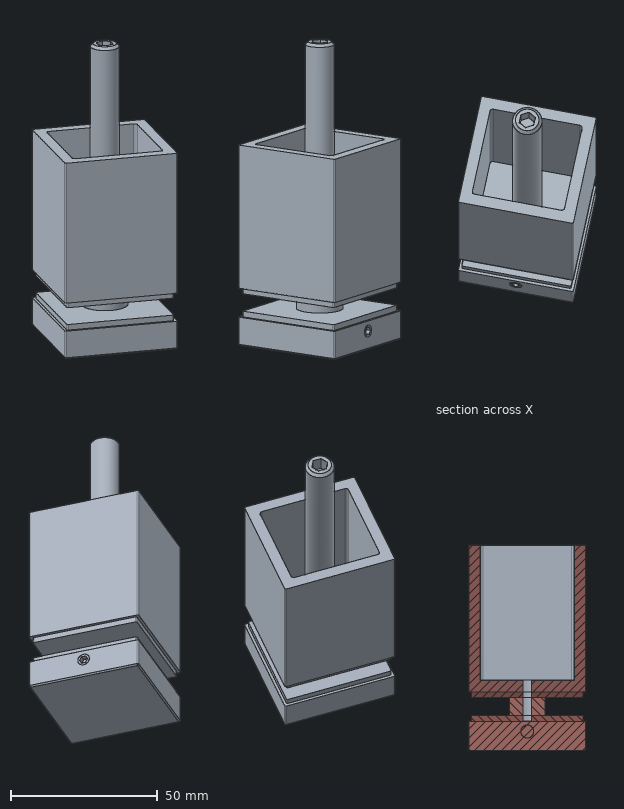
import cadquery as cq
import math

column_side = 40.0
corner_radius = 0.5

base_height = 10.0
base_bottom_chamfer = 0.5

gasket_inset = 1.0
gasket_side = column_side - 2 * gasket_inset
gasket_thickness = 2.0

spacer_diameter = 16.0
spacer_height = 6.0

sleeve_height = 50.0
sleeve_wall = 4.0
sleeve_floor = 4.0
sleeve_cavity_corner_radius = 1.0
sleeve_cavity_side = column_side - 2 * sleeve_wall

stud_diameter = 10.0
stud_clearance_diameter = 10.4
stud_chamfer = 1.0
stud_top = 105.0
stud_engagement = 7.0
stud_hex_flats = 5.0
stud_hex_depth = 5.0

screw_diameter = 4.2
screw_z = 6.5
screw_hex_flats = 2.5
screw_hex_depth = 2.0

lower_gasket_z = base_height
spacer_z = lower_gasket_z + gasket_thickness
upper_gasket_z = spacer_z + spacer_height
sleeve_z = upper_gasket_z + gasket_thickness
stud_bottom = base_height - stud_engagement

screw_head_x = -column_side / 2
screw_length = (column_side - stud_diameter) / 2

HEX_CORNERS_PER_FLATS = 1 / math.cos(math.pi / 6)


def rounded_square_block(side, z, height, radius=corner_radius):
    """Square block standing at level z, with rounded vertical edges."""
    block = cq.Workplane("XY", origin=(0, 0, z)).rect(side, side).extrude(height)
    return block.edges("|Z").fillet(radius)


def upright_cylinder(diameter, z, height):
    return cq.Workplane("XY", origin=(0, 0, z)).circle(diameter / 2).extrude(height)


def screw_axis_cylinder(length):
    """Cylinder on the set screw axis, running inwards from the -X face."""
    plane = cq.Workplane("YZ", origin=(screw_head_x, 0, screw_z))
    return plane.circle(screw_diameter / 2).extrude(length)


def make_stud():
    stud = upright_cylinder(stud_diameter, stud_bottom, stud_top - stud_bottom)
    stud = stud.faces(">Z").chamfer(stud_chamfer)
    socket = (
        cq.Workplane("XY", origin=(0, 0, stud_top))
        .polygon(6, stud_hex_flats * HEX_CORNERS_PER_FLATS)
        .extrude(-stud_hex_depth)
    )
    return stud.cut(socket)


def make_stud_hole(diameter):
    """Cutter for the hole along the stud, full stud length."""
    return upright_cylinder(diameter, stud_bottom, stud_top - stud_bottom)


def make_set_screw():
    screw = screw_axis_cylinder(screw_length)
    socket = (
        cq.Workplane("YZ", origin=(screw_head_x, 0, screw_z))
        .polygon(6, screw_hex_flats * HEX_CORNERS_PER_FLATS)
        .extrude(screw_hex_depth)
    )
    return screw.cut(socket)


def make_base():
    base = rounded_square_block(column_side, 0, base_height)
    base = base.faces("<Z").chamfer(base_bottom_chamfer)
    screw_hole = screw_axis_cylinder(column_side / 2)
    return base.cut(make_stud_hole(stud_diameter)).cut(screw_hole)


def make_gasket(z):
    gasket = rounded_square_block(gasket_side, z, gasket_thickness)
    return gasket.cut(make_stud_hole(stud_clearance_diameter))


def make_spacer():
    spacer = upright_cylinder(spacer_diameter, spacer_z, spacer_height)
    return spacer.cut(make_stud_hole(stud_clearance_diameter))


def make_sleeve():
    sleeve = rounded_square_block(column_side, sleeve_z, sleeve_height)
    cavity_depth = sleeve_height - sleeve_floor
    cavity = rounded_square_block(
        sleeve_cavity_side,
        sleeve_z + sleeve_floor,
        cavity_depth,
        sleeve_cavity_corner_radius,
    )
    return sleeve.cut(cavity).cut(make_stud_hole(stud_clearance_diameter))


base = make_base()
gaskets = [make_gasket(z) for z in (lower_gasket_z, upper_gasket_z)]
spacer = make_spacer()
sleeve = make_sleeve()
stud = make_stud()
set_screw = make_set_screw()

result = cq.Compound.makeCompound([
    base.val(),
    *[gasket.val() for gasket in gaskets],
    spacer.val(),
    sleeve.val(),
    stud.val(),
    set_screw.val(),
])